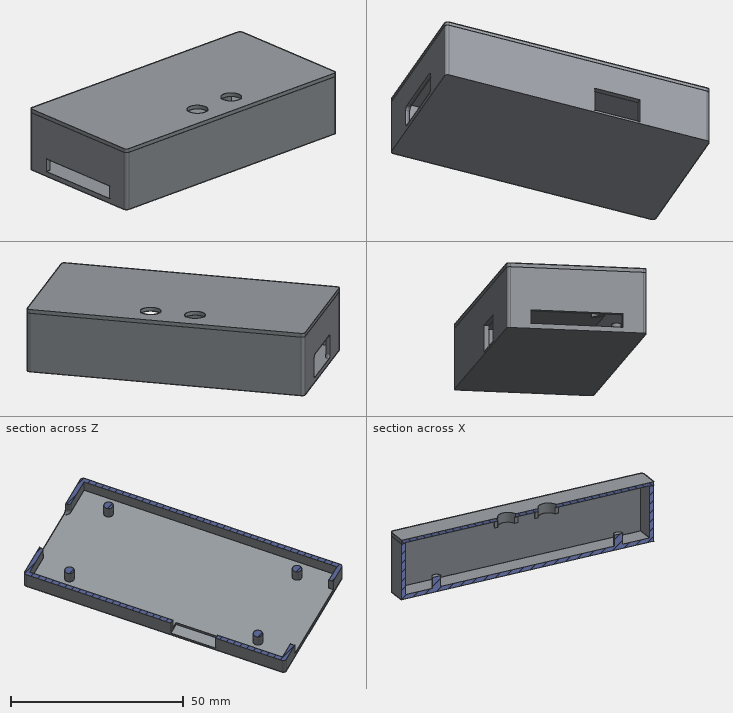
import cadquery as cq

LENGTH = 83.2
WIDTH = 41.2
HEIGHT = 19.2
CORNER_RADIUS = 1.0
WALL = 1.5
FLOOR = 1.5
LID_THICKNESS = 1.2

SLOT_WIDTH = 27.0
SLOT_TOP = 5.5

OPENING_WIDTH = 18.5
OPENING_TOP = 8.65
OPENING_CORNER_RADIUS = 1.1
OPENING_FLARE_RADIUS = 0.8

WINDOW_LENGTH = 14.15
WINDOW_CENTER_Y = -12.4
WINDOW_BOTTOM = 0.75
WINDOW_TOP = 8.65
WINDOW_DEPTH = 3.75

POST_DIAMETER = 2.8
POST_TOP = 5.0
POST_X = 13.8
POST_Y = 29.95

HOLE_DIAMETER = 6.0
HOLE_X = 13.0
HOLE_Y = (-6.4, 6.9)
GUIDE_WALL = 1.0
GUIDE_DEPTH = 2.0
GUIDE_FLAT_OFFSET = 1.1

LID_BOTTOM = HEIGHT - LID_THICKNESS
INNER_X = WIDTH / 2 - WALL
INNER_Y = LENGTH / 2 - WALL


def span_box(x_span, y_span, z_span):
    """Box between the given limits on each axis."""
    size = [high - low for low, high in (x_span, y_span, z_span)]
    corner = (x_span[0], y_span[0], z_span[0])
    return cq.Workplane("XY").box(*size, centered=False).translate(corner)


def rounded_plate(bottom, height):
    """Plate with the outline of the case and rounded vertical edges."""
    plate = cq.Workplane("XY").workplane(offset=bottom).rect(WIDTH, LENGTH).extrude(height)
    return plate.edges("|Z").fillet(CORNER_RADIUS)


def flared_opening():
    """Cutter for the +Y opening: rounded corners, with the inner rim rounded over."""
    margin = 2 * OPENING_FLARE_RADIUS
    x_limit = OPENING_WIDTH / 2 + margin
    envelope = span_box((-x_limit, x_limit), (INNER_Y, LENGTH / 2), (FLOOR - margin, OPENING_TOP + margin))
    passage = span_box((-OPENING_WIDTH / 2, OPENING_WIDTH / 2), (INNER_Y, LENGTH / 2), (FLOOR, OPENING_TOP))
    passage = passage.edges("|Y").fillet(OPENING_CORNER_RADIUS)
    frame = envelope.cut(passage)
    inner_rim = frame.faces("<Y").val().innerWires()[0]
    frame = frame.newObject(inner_rim.Edges()).fillet(OPENING_FLARE_RADIUS)
    above_floor = span_box((-x_limit, x_limit), (INNER_Y, LENGTH / 2), (FLOOR, OPENING_TOP + margin))
    return above_floor.cut(frame)


def build_housing():
    """Open-topped tray with its openings and posts."""
    housing = rounded_plate(0, LID_BOTTOM)
    housing = housing.cut(span_box((-INNER_X, INNER_X), (-INNER_Y, INNER_Y), (FLOOR, LID_BOTTOM)))

    slot = span_box((-SLOT_WIDTH / 2, SLOT_WIDTH / 2), (-LENGTH / 2, -INNER_Y), (FLOOR, SLOT_TOP))
    window = span_box(
        (-WIDTH / 2, -WIDTH / 2 + WINDOW_DEPTH),
        (WINDOW_CENTER_Y - WINDOW_LENGTH / 2, WINDOW_CENTER_Y + WINDOW_LENGTH / 2),
        (WINDOW_BOTTOM, WINDOW_TOP),
    )
    housing = housing.cut(slot).cut(window).cut(flared_opening())

    posts = (
        cq.Workplane("XY")
        .rect(2 * POST_X, 2 * POST_Y, forConstruction=True)
        .vertices()
        .circle(POST_DIAMETER / 2)
        .extrude(POST_TOP)
    )
    return housing.union(posts)


def build_lid():
    """Flat lid with button holes and their guides."""
    lid = rounded_plate(LID_BOTTOM, LID_THICKNESS)
    guide_radius = HOLE_DIAMETER / 2 + GUIDE_WALL
    centers = [(HOLE_X, y) for y in HOLE_Y]
    guides = (
        cq.Workplane("XY")
        .workplane(offset=LID_BOTTOM)
        .pushPoints(centers)
        .circle(guide_radius)
        .extrude(-GUIDE_DEPTH)
    )
    flat_x = HOLE_X + GUIDE_FLAT_OFFSET
    guides = guides.intersect(
        span_box((flat_x, WIDTH / 2), (-LENGTH / 2, LENGTH / 2), (LID_BOTTOM - GUIDE_DEPTH, LID_BOTTOM))
    )
    holes = (
        cq.Workplane("XY")
        .workplane(offset=HEIGHT)
        .pushPoints(centers)
        .circle(HOLE_DIAMETER / 2)
        .extrude(-LID_THICKNESS - GUIDE_DEPTH)
    )
    return lid.union(guides).cut(holes)


housing = build_housing()
lid = build_lid()

result = cq.Compound.makeCompound([housing.val(), lid.val()])